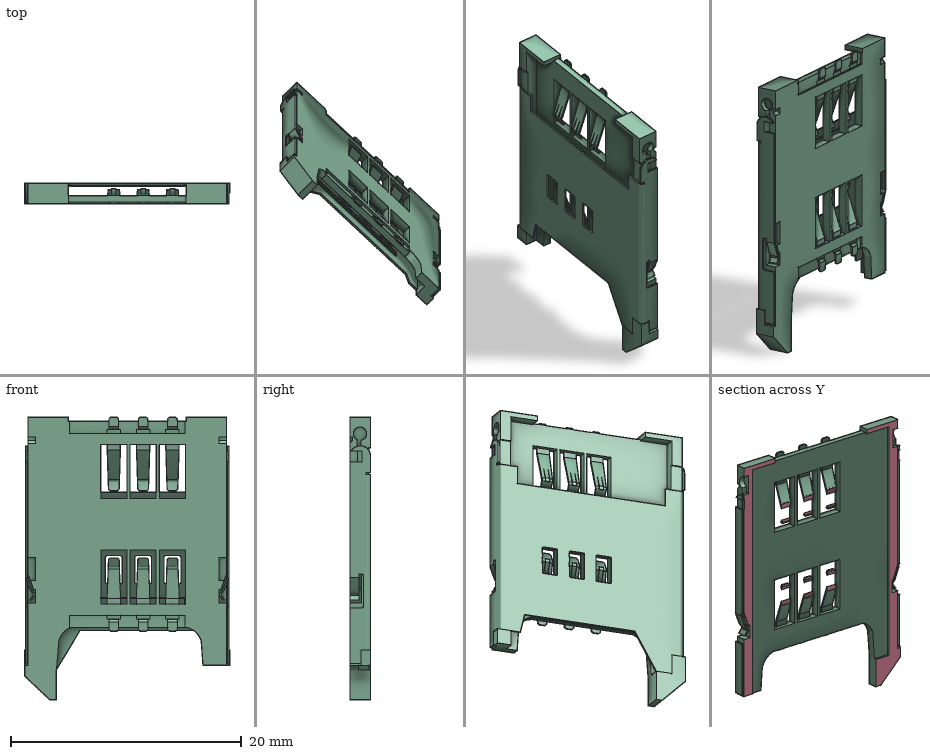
import cadquery as cq

DEPTH = 1.8
TOP_Z = 24.5
FOOT_X = 8.9
BODY_X = 8.6
COVER_X = 8.82
SHEET = 0.15
FLOOR = 0.73
MIRROR_Z = 15.22
SIDES = (-1, 1)

PITCH = 2.54
MIDDLE_CONTACT_X = 1.375
CONTACT_XS = [MIDDLE_CONTACT_X + step * PITCH for step in (-1, 0, 1)]
STRIP = 0.15
TAIL_HALF = 0.42
ROOT_HALF = 0.58
CREST_HALF = 0.5
TIP_HALF = 0.47
END_CORNER = 0.15
TAIL_BEND_Z = 23.67
BURIED_Z = 23.42
SPRING_Z = 21.65
CREST_TOP_Z = 19.1
CREST_BOTTOM_Z = 18.8
CREST_MIDDLE_Z = (CREST_TOP_Z + CREST_BOTTOM_Z) / 2
CREST_BULGE = 0.06
TIP_Z = 18.12
BEAD_HALF = 0.2
BEAD_START_Y = 0.88
BEAD_Y = 1.32
BURIED_Y = 0.2
CREST_Y = 1.05
TIP_Y = 0.7

TAB_X = 5.1
FLOOR_TOP_Z = 24.16
TAB_WALL = 0.44
CAVITY_X = 7.6
COVER_Y = DEPTH - SHEET
CORNER_BOTTOM_Z = 21.83
RECESS_X = 5.02
RECESS_DEPTH = 0.17
RECESS_BOTTOM_Z = 23.1
WINDOW_WIDTH = 2.25
WINDOW_TOP_Z = 22.13
WINDOW_BOTTOM_Z = 17.46
FOOT_TOP_Z = 4.32
FOOT_STEP_Y = 0.95
RIGHT_LEG_X = 6.55
RIGHT_LEG_Z = 3.0
RIGHT_ARC_OUTER_X = 6.4
RIGHT_ARC_MIDDLE = (5.95, 5.85)
RIGHT_ARC_INNER_X = 5.2
LEFT_ARC_OUTER_X = -5.93
LEFT_ARC_MIDDLE = (-5.56, 5.79)
LEFT_ARC_INNER_X = -4.87
FLOOR_BOTTOM_Z = 2 * MIRROR_Z - FLOOR_TOP_Z
TIP_TOP_Z = 2.6
TOE_X = -6.13
TOE_FLAT_X = -6.7
TOE_SLOPE_Z = 2.07
NOTCH_X = 7.94

NOTCH_BOTTOM_Z = 10.35
NOTCH_TOP_Z = 12.36
POCKET_STEP_X = 8.1
POCKET_STEP_Z = 9.55
POCKET_BOTTOM_Z = 8.4
POCKET_DEPTH = 1.0
NICK_DEPTH = 0.22
NICK_TOP_Z = 22.78
NICK_INNER_Z = 22.5
NICK_BOTTOM_Z = 22.23
HOLE_Y = 0.88
HOLE_Z = 23.07
HOLE_RADIUS = 0.58
HOLE_DEPTH = 0.5
KEY_Y = 0.8
KEY_WIDTH = 0.35
LEG_ARC_TOP_Z = 5.1

ROLL_RADIUS = 0.4
PLATE_TOP_Z = 18.0
PLATE_BOTTOM_Z = 6.0
PLATE_LEFT_X = -4.1
PLATE_RIGHT_X = 6.3
PLATE_RIGHT_LEG_X = 6.7
ROLL_TOP_Z = 19.55
SLIT = 0.15
EAR_TOP_Z = 22.0
EAR_RADIUS = 0.85
PLATE_OPENING_X = 7.0
SLOT_WIDTH = 1.45
SLOT_BOTTOM_Z = 10.07
SLOT_TOP_Z = 12.5
SLOT_CORNER = 0.15
RIB_X = 5.0
RIB_RISE = 0.15
RIB_BEVEL = 0.06
RIB_HEIGHT = 0.8
RIB_TOPS_Z = (8.86, 17.3)
FLAP_BOTTOM_Z = 20.63
FLAP_TOP_Z = 21.57
FLAP_START_Y = 1.05
FLAP_END_Y = 0.65
SIDE_BOTTOM_Z = 3.18
LATCH_SLIT = 0.17
LATCH_SLIT_TOP_Z = 10.9
LATCH_SLIT_Y = 1.2
LATCH_BOTTOM_Z = 7.98
TONGUE_BEND_Z = 10.62
TONGUE_KNEE_X = 8.4
TONGUE_KNEE_Z = 9.54
TONGUE_PEAK_X = 8.15
TONGUE_PEAK_TOP_Z = 9.2
TONGUE_PEAK_BOTTOM_Z = 9.05
TONGUE_END_X = 8.45
TONGUE_END_Z = 8.65
TONGUE_Y = 0.8


def box(x, y, z):
    """Block between pairs of (low, high) limits."""
    return cq.Workplane("XY").box(
        x[1] - x[0], y[1] - y[0], z[1] - z[0], centered=False
    ).translate((x[0], y[0], z[0]))


def side_box(side, x, y, z):
    """Block on the left (-1) or right (+1) side; x limits are distances from the middle."""
    return box(sorted((side * x[0], side * x[1])), y, z)


def plate_xz(outline, y):
    """Extrude an XZ outline between two Y limits."""
    return outline.extrude(-(y[1] - y[0])).translate((0, y[0], 0))


def mirror_row(shape):
    return shape.mirror("XY", (0, 0, MIRROR_Z))


def contact_bead():
    """Bead that rises gradually from the back of the arm to full height at the crest."""
    arm_slope = (SPRING_Z - CREST_TOP_Z) / (CREST_Y - BURIED_Y)
    start_z = SPRING_Z - (BEAD_START_Y - BURIED_Y - STRIP) * arm_slope
    return (
        cq.Workplane("YZ")
        .moveTo(BEAD_START_Y, start_z)
        .lineTo(BEAD_Y, CREST_TOP_Z)
        .lineTo(BEAD_Y, CREST_BOTTOM_Z)
        .lineTo(CREST_Y + STRIP / 2, CREST_BOTTOM_Z)
        .lineTo(CREST_Y + STRIP / 2, CREST_TOP_Z)
        .close()
        .extrude(BEAD_HALF, both=True)
    )


def upper_contact():
    profile = (
        cq.Workplane("YZ")
        .moveTo(0, TOP_Z)
        .lineTo(0, TAIL_BEND_Z)
        .lineTo(BURIED_Y, BURIED_Z)
        .lineTo(BURIED_Y, SPRING_Z)
        .lineTo(CREST_Y, CREST_TOP_Z)
        .threePointArc((CREST_Y + CREST_BULGE, CREST_MIDDLE_Z), (CREST_Y, CREST_BOTTOM_Z))
        .lineTo(TIP_Y, TIP_Z)
        .lineTo(TIP_Y + STRIP, TIP_Z)
        .lineTo(CREST_Y + STRIP, CREST_BOTTOM_Z)
        .threePointArc((CREST_Y + STRIP + CREST_BULGE, CREST_MIDDLE_Z), (CREST_Y + STRIP, CREST_TOP_Z))
        .lineTo(BURIED_Y + STRIP, SPRING_Z)
        .lineTo(BURIED_Y + STRIP, BURIED_Z)
        .lineTo(STRIP, TAIL_BEND_Z)
        .lineTo(STRIP, TOP_Z)
        .close()
        .extrude(ROOT_HALF, both=True)
    )
    half_outline = [
        (TAIL_HALF - END_CORNER, TOP_Z),
        (TAIL_HALF, TOP_Z - END_CORNER),
        (TAIL_HALF, BURIED_Z),
        (ROOT_HALF, BURIED_Z),
        (ROOT_HALF, SPRING_Z),
        (CREST_HALF, CREST_TOP_Z),
        (TIP_HALF, TIP_Z + END_CORNER),
        (TIP_HALF - END_CORNER, TIP_Z),
    ]
    other_half = [(-x, z) for x, z in reversed(half_outline)]
    outline = cq.Workplane("XZ").polyline(half_outline + other_half).close()
    return profile.intersect(plate_xz(outline, (0, DEPTH))).union(contact_bead())


contacts = []
for contact_x in CONTACT_XS:
    upper = upper_contact().translate((contact_x, 0, 0))
    contacts += [upper, mirror_row(upper)]


def cover_section():
    """Channel with rolled corners: back plate and two side walls, over the full height."""
    outer = box((-COVER_X, COVER_X), (0, DEPTH), (TIP_TOP_Z, EAR_TOP_Z))
    outer = outer.edges("|Z and >Y").fillet(ROLL_RADIUS)
    inner_x = COVER_X - SHEET
    inner = box((-inner_x, inner_x), (0, COVER_Y), (TIP_TOP_Z, EAR_TOP_Z))
    inner = inner.edges("|Z and >Y").fillet(ROLL_RADIUS - SHEET)
    return outer.cut(inner)


def plate_cutouts():
    """Openings above and below the back plate, the lower one running along the left leg."""
    upper = box(
        (-PLATE_OPENING_X, PLATE_OPENING_X), (ROLL_RADIUS, DEPTH), (PLATE_TOP_Z, EAR_TOP_Z)
    )
    above_roll = box((-COVER_X, COVER_X), (ROLL_RADIUS, DEPTH), (ROLL_TOP_Z, EAR_TOP_Z))
    lower = (
        cq.Workplane("XZ")
        .moveTo(PLATE_LEFT_X, PLATE_BOTTOM_Z)
        .lineTo(TOE_X, TIP_TOP_Z)
        .lineTo(-CAVITY_X, TIP_TOP_Z)
        .lineTo(-CAVITY_X, FOOT_TOP_Z)
        .lineTo(-FOOT_X, FOOT_TOP_Z)
        .lineTo(-FOOT_X, 0)
        .lineTo(FOOT_X, 0)
        .lineTo(FOOT_X, FOOT_TOP_Z)
        .lineTo(PLATE_RIGHT_LEG_X, FOOT_TOP_Z)
        .lineTo(PLATE_RIGHT_X, PLATE_BOTTOM_Z)
        .close()
    )
    below_walls = box((-COVER_X, COVER_X), (0, FOOT_STEP_Y), (TIP_TOP_Z, SIDE_BOTTOM_Z))
    return upper.union(above_roll).union(below_walls).union(plate_xz(lower, (FOOT_STEP_Y, DEPTH)))


def ear(side):
    """Flat upper part of a side wall, rounded on top, with a short flap bent into the housing."""
    inner_x = COVER_X - SHEET
    wall = side_box(side, (inner_x, COVER_X), (0, DEPTH), (ROLL_TOP_Z, EAR_TOP_Z))
    wall = wall.edges("|X and >Z").fillet(EAR_RADIUS)
    slit = side_box(side, (inner_x, COVER_X), (DEPTH - ROLL_RADIUS, DEPTH),
                    (ROLL_TOP_Z, ROLL_TOP_Z + SLIT))
    opening = side_box(side, (inner_x, COVER_X), (0, FLAP_START_Y), (FLAP_BOTTOM_Z, FLAP_TOP_Z))
    flap = (
        cq.Workplane("XY")
        .moveTo(side * COVER_X, FLAP_START_Y)
        .lineTo(side * BODY_X, FLAP_END_Y)
        .lineTo(side * (BODY_X - SHEET), FLAP_END_Y)
        .lineTo(side * inner_x, FLAP_START_Y)
        .close()
        .extrude(FLAP_TOP_Z - FLAP_BOTTOM_Z)
        .translate((0, 0, FLAP_BOTTOM_Z))
    )
    return wall.cut(slit).cut(opening).union(flap)


def latch_opening(side):
    opening = side_box(side, (COVER_X - SHEET, COVER_X), (0, LATCH_SLIT_Y),
                       (LATCH_BOTTOM_Z, LATCH_SLIT_TOP_Z))
    return opening.edges("|X and >Y").fillet(LATCH_SLIT)


def latch_tongue(side):
    """Spring tongue hanging in the side wall opening, bowed in towards the card."""
    outer_face = [
        (COVER_X, LATCH_SLIT_TOP_Z),
        (COVER_X, TONGUE_BEND_Z),
        (TONGUE_KNEE_X, TONGUE_KNEE_Z),
        (TONGUE_PEAK_X, TONGUE_PEAK_TOP_Z),
        (TONGUE_PEAK_X, TONGUE_PEAK_BOTTOM_Z),
        (TONGUE_END_X, TONGUE_END_Z),
    ]
    inner_face = [(x - SHEET, z) for x, z in reversed(outer_face)]
    points = [(side * x, z) for x, z in outer_face + inner_face]
    return plate_xz(cq.Workplane("XZ").polyline(points).close(), (0, TONGUE_Y))


def rib(top_z):
    """Bevelled rib pressed inward across the back plate."""
    blank = box((-RIB_X, RIB_X), (COVER_Y - RIB_RISE, COVER_Y), (top_z - RIB_HEIGHT, top_z))
    return blank.edges("<Y").chamfer(RIB_BEVEL)


def build_cover():
    cover = cover_section().cut(plate_cutouts())
    top_walls = box((-COVER_X, COVER_X), (0, DEPTH), (ROLL_TOP_Z, EAR_TOP_Z))
    cover = cover.cut(top_walls)
    for side in SIDES:
        cover = cover.union(ear(side))
        cover = cover.cut(latch_opening(side)).union(latch_tongue(side))
    for contact_x in CONTACT_XS:
        slot = box((contact_x - SLOT_WIDTH / 2, contact_x + SLOT_WIDTH / 2),
                   (COVER_Y, DEPTH), (SLOT_BOTTOM_Z, SLOT_TOP_Z))
        cover = cover.cut(slot.edges("|Y").fillet(SLOT_CORNER))
    for top_z in RIB_TOPS_Z:
        cover = cover.union(rib(top_z))
    return cover


cover = build_cover()


def floor_outline():
    """Floor with a wide arch between the long left leg and the short right leg."""
    return (
        cq.Workplane("XZ")
        .moveTo(-BODY_X, TOP_Z)
        .lineTo(-TAB_X, TOP_Z)
        .lineTo(-TAB_X, FLOOR_TOP_Z)
        .lineTo(TAB_X, FLOOR_TOP_Z)
        .lineTo(TAB_X, TOP_Z)
        .lineTo(BODY_X, TOP_Z)
        .lineTo(BODY_X, FOOT_TOP_Z)
        .lineTo(FOOT_X, FOOT_TOP_Z)
        .lineTo(FOOT_X, RIGHT_LEG_Z)
        .lineTo(RIGHT_LEG_X, RIGHT_LEG_Z)
        .lineTo(RIGHT_ARC_OUTER_X, LEG_ARC_TOP_Z)
        .threePointArc(RIGHT_ARC_MIDDLE, (RIGHT_ARC_INNER_X, FLOOR_BOTTOM_Z))
        .lineTo(LEFT_ARC_INNER_X, FLOOR_BOTTOM_Z)
        .threePointArc(LEFT_ARC_MIDDLE, (LEFT_ARC_OUTER_X, LEG_ARC_TOP_Z))
        .lineTo(TOE_X, TIP_TOP_Z)
        .lineTo(TOE_X, 0)
        .lineTo(TOE_FLAT_X, 0)
        .lineTo(-FOOT_X, TOE_SLOPE_Z)
        .lineTo(-FOOT_X, FOOT_TOP_Z)
        .lineTo(-BODY_X, FOOT_TOP_Z)
        .close()
    )


def card_cavity():
    """Card slot, open at the bottom; the left toe below it stays solid."""
    return box((-CAVITY_X, CAVITY_X), (FLOOR, DEPTH), (TIP_TOP_Z, TOP_Z - TAB_WALL))


def window_row():
    row = cq.Workplane("XY")
    for contact_x in CONTACT_XS:
        row = row.union(box(
            (contact_x - WINDOW_WIDTH / 2, contact_x + WINDOW_WIDTH / 2),
            (0, FLOOR), (WINDOW_BOTTOM_Z, WINDOW_TOP_Z),
        ))
    return row


def solder_recess():
    return box((-RECESS_X, RECESS_X), (0, RECESS_DEPTH), (RECESS_BOTTOM_Z, FLOOR_TOP_Z))


def latch_pocket(side):
    """Room for the latch tongue, plus the open notch above it."""
    outline = [
        (BODY_X, LATCH_SLIT_TOP_Z),
        (POCKET_STEP_X, POCKET_STEP_Z),
        (NOTCH_X, POCKET_STEP_Z),
        (NOTCH_X, POCKET_BOTTOM_Z),
        (BODY_X, POCKET_BOTTOM_Z),
    ]
    points = [(side * x, z) for x, z in outline]
    pocket = plate_xz(cq.Workplane("XZ").polyline(points).close(), (0, POCKET_DEPTH))
    notch = side_box(side, (NOTCH_X, BODY_X), (0, FLOOR), (NOTCH_BOTTOM_Z, NOTCH_TOP_Z))
    return pocket.union(notch)


def keyhole(side):
    """Blind round hole in the side of the top corner, with a narrow slot below it."""
    hole = (
        cq.Workplane("YZ")
        .center(HOLE_Y, HOLE_Z)
        .circle(HOLE_RADIUS)
        .extrude(-side * HOLE_DEPTH)
        .translate((side * BODY_X, 0, 0))
    )
    slot = side_box(side, (BODY_X - HOLE_DEPTH, BODY_X),
                    (KEY_Y - KEY_WIDTH / 2, KEY_Y + KEY_WIDTH / 2), (EAR_TOP_Z, HOLE_Z))
    return hole.union(slot)


def corner_nick(side):
    """Small front notch with a sloped lower face."""
    return (
        cq.Workplane("YZ")
        .moveTo(0, NICK_TOP_Z)
        .lineTo(NICK_DEPTH, NICK_TOP_Z)
        .lineTo(NICK_DEPTH, NICK_INNER_Z)
        .lineTo(0, NICK_BOTTOM_Z)
        .close()
        .extrude(-side * (BODY_X - NOTCH_X))
        .translate((side * BODY_X, 0, 0))
    )


def build_housing():
    housing = plate_xz(floor_outline(), (0, DEPTH))
    housing = housing.cut(card_cavity())
    housing = housing.cut(
        box((-BODY_X, BODY_X), (COVER_Y, DEPTH), (FOOT_TOP_Z, CORNER_BOTTOM_Z))
    )
    housing = housing.cut(box((-TAB_X, TAB_X), (FLOOR, DEPTH), (TIP_TOP_Z, TOP_Z)))
    housing = housing.cut(window_row()).cut(mirror_row(window_row()))
    housing = housing.cut(solder_recess()).cut(mirror_row(solder_recess()))
    for side in SIDES:
        housing = housing.cut(latch_pocket(side))
        housing = housing.cut(keyhole(side))
        housing = housing.cut(corner_nick(side))
        housing = housing.cut(side_box(
            side, (BODY_X, FOOT_X), (0, FOOT_STEP_Y), (RIGHT_LEG_Z, FOOT_TOP_Z)
        ))
    housing = housing.cut(cover)
    for contact in contacts:
        housing = housing.cut(contact)
    return housing


housing = build_housing()

bodies = [housing, cover] + contacts
result = cq.Compound.makeCompound([body.solids().val() for body in bodies])